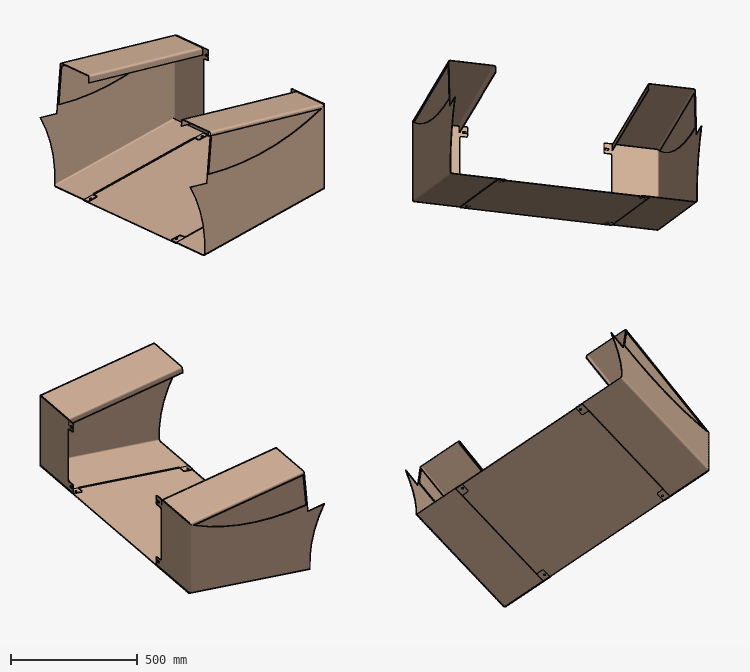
import cadquery as cq
import math

overall_width = 1007.46
overall_depth = 657.01
overall_height = 515.89
sheet = 3.0
bend_radius = 9.5
floor_angle = 15.0
front_edge_angle = 5.0

half_width = overall_width / 2
back_y = overall_depth / 2
wing_tip_y = -overall_depth / 2
top_z = overall_height / 2
bottom_z = -overall_height / 2

floor_front_y = -259.0
top_front_y = -230.0
wing_z = 48.0
wing_radius = 530.0

flange_edge_x = 309.5
tab_end_x = 277.5
tab_width = 45.0
tab_corner = 6.0
slot_width = 7.0
slot_depth = 20.0
slot_inset = 26.0
tab_hole_diameter = 8.0
tab_hole_from_end = 10.5
tab_hole_from_back = 24.0
tab_hole_from_front = 18.5
lip_height = 30.0
seam_gap = 1.0

margin = 1.0

emboss_depth = 1.5
emboss_top_drop = 16.0
emboss_back_inset = 19.0
emboss_front_inset = 6.0
emboss_bottom_z = 83.5
emboss_radius = 1053.0

slope = math.tan(math.radians(floor_angle))
plate_end_shift = sheet * math.sin(math.radians(floor_angle))
lean = math.tan(math.radians(front_edge_angle))
sheet_rise = sheet / math.cos(math.radians(floor_angle))
plate_front_z = bottom_z - plate_end_shift * slope


def plate_bottom_z(y):
    """Height of the underside of the floor plate."""
    return plate_front_z + slope * (y - floor_front_y)


def floor_bottom_z(y):
    """Height of the underside of the guard's floor flange, which rests on the plate."""
    return plate_bottom_z(y) + sheet_rise


def floor_top_z(y):
    """Height of the upper face of the guard's floor flange."""
    return floor_bottom_z(y) + sheet_rise


def front_edge_y(z):
    """Position of the leaning front edge above the wing."""
    return top_front_y - lean * (top_z - z)


def guard_block():
    """Solid filling one guard's envelope, rounded along the top, back, floor and lip bends."""
    block = (
        cq.Workplane("YZ", origin=(-half_width, 0, 0))
        .moveTo(back_y, top_z)
        .lineTo(back_y, floor_bottom_z(back_y))
        .lineTo(floor_front_y, floor_bottom_z(floor_front_y))
        .radiusArc((wing_tip_y, wing_z), -wing_radius)
        .lineTo(front_edge_y(wing_z), wing_z)
        .lineTo(top_front_y, top_z)
        .close()
        .extrude(half_width - flange_edge_x)
    )
    side_bends = cq.selectors.BoxSelector(
        (-half_width - margin, top_front_y / 2, bottom_z),
        (-half_width + margin, back_y + margin, top_z + margin),
    )
    block = block.edges(side_bends).fillet(bend_radius)
    return block.faces(">Z").edges(">X").fillet(bend_radius)


def cavity_block(top, inner_x):
    """Space between the side sheet and inner_x, above the floor, in front of the back flange."""
    back = back_y - sheet
    front = wing_tip_y - sheet
    return (
        cq.Workplane("YZ", origin=(-half_width + sheet, 0, 0))
        .polyline([
            (back, top),
            (back, floor_top_z(back)),
            (front, floor_top_z(front)),
            (front, top),
        ])
        .close()
        .extrude(inner_x + half_width - sheet)
    )


def guard_cavity():
    """Hollow of the guard, open at the front and, below the lip, along the inner side."""
    inner_radius = bend_radius - sheet
    hollow = cavity_block(top_z - sheet, -flange_edge_x - sheet)
    hollow = hollow.faces("<X").edges("not <Y").fillet(inner_radius)
    hollow = hollow.faces(">Z").edges(">X").fillet(inner_radius)
    opening = cavity_block(top_z - lip_height, -tab_end_x)
    opening = opening.faces("<X").edges("not <Y").edges("not >Z").fillet(inner_radius)
    return hollow.union(opening)


def tabbed_edge(plane, origin, start, end, depth):
    """Strip of sheet along a flange's free edge with a rounded tab at each end."""
    strip = (
        cq.Workplane(plane, origin=origin)
        .polyline([
            (-flange_edge_x - bend_radius, start),
            (-tab_end_x, start),
            (-tab_end_x, start + tab_width),
            (-flange_edge_x, start + tab_width),
            (-flange_edge_x, end - tab_width),
            (-tab_end_x, end - tab_width),
            (-tab_end_x, end),
            (-flange_edge_x - bend_radius, end),
        ])
        .close()
        .extrude(depth)
    )
    through_edges = cq.selectors.ParallelDirSelector(strip.plane.zDir)
    inner_side = cq.selectors.BoxSelector(
        (-flange_edge_x - margin, -overall_depth, -overall_height),
        (-tab_end_x + margin, overall_depth, overall_height),
    )
    return strip.edges(through_edges).edges(inner_side).fillet(tab_corner)


def back_edge():
    """Tabbed edge of the back flange, with a slot open to the end of each tab."""
    floor_z = floor_bottom_z(back_y)
    edge = tabbed_edge("XZ", (0, back_y, 0), floor_z, top_z, sheet)
    for slot_z in (floor_z + slot_inset, top_z - slot_inset):
        slot = (
            cq.Workplane("XZ", origin=(-tab_end_x, back_y, slot_z))
            .slot2D(2 * slot_depth, slot_width)
            .extrude(sheet)
        )
        edge = edge.cut(slot)
    return edge


def floor_edge():
    """Tabbed edge of the sloping floor flange, with a hole in each tab."""
    back = back_y - sheet
    edge = tabbed_edge("XY", (0, 0, bottom_z), floor_front_y, back, overall_height)
    floor_layer = (
        cq.Workplane("YZ", origin=(-half_width, 0, 0))
        .polyline([
            (floor_front_y, floor_bottom_z(floor_front_y)),
            (back, floor_bottom_z(back)),
            (back, floor_top_z(back)),
            (floor_front_y, floor_top_z(floor_front_y)),
        ])
        .close()
        .extrude(half_width)
    )
    hole_x = -tab_end_x - tab_hole_from_end
    holes = (
        cq.Workplane("XY", origin=(0, 0, bottom_z))
        .pushPoints([
            (hole_x, floor_front_y + tab_hole_from_front),
            (hole_x, back_y - tab_hole_from_back),
        ])
        .circle(tab_hole_diameter / 2)
        .extrude(overall_height)
    )
    return edge.intersect(floor_layer).cut(holes)


def top_seam():
    """Slit that frees the top flange and its lip from the back flange."""
    length = half_width - bend_radius - flange_edge_x
    corner = (-flange_edge_x, back_y - sheet, top_z)
    return (
        cq.Workplane("XY", origin=corner)
        .box(length, seam_gap, lip_height, centered=False)
        .translate((-length, -seam_gap, -lip_height))
    )


def emboss_block(outer_x):
    """Block with the outline and depth of the pressed panel, its outer face at the given X."""
    top = top_z - emboss_top_drop
    top_front = front_edge_y(top) + emboss_front_inset
    bottom_front = front_edge_y(emboss_bottom_z) + emboss_front_inset
    return (
        cq.Workplane("YZ", origin=(outer_x, 0, 0))
        .moveTo(back_y - emboss_back_inset, top)
        .lineTo(top_front, top)
        .lineTo(bottom_front, emboss_bottom_z)
        .radiusArc((back_y - emboss_back_inset, top), -emboss_radius)
        .close()
        .extrude(emboss_depth)
    )


def left_guard():
    """Side sheet with its top, back and floor flanges, all one piece."""
    guard = guard_block().cut(guard_cavity())
    guard = guard.union(back_edge()).union(floor_edge()).cut(top_seam())
    guard = guard.cut(emboss_block(-half_width))
    return guard.union(emboss_block(-half_width + sheet))


def floor_plate():
    """Flat sloping plate carrying both guards' floor flanges."""
    return (
        cq.Workplane("YZ", origin=(-flange_edge_x, 0, 0))
        .polyline([
            (floor_front_y, floor_bottom_z(floor_front_y)),
            (floor_front_y + plate_end_shift, bottom_z),
            (back_y - sheet, plate_bottom_z(back_y - sheet)),
            (back_y - sheet, floor_bottom_z(back_y - sheet)),
        ])
        .close()
        .extrude(2 * flange_edge_x)
    )


guard = left_guard()
mirrored_guard = guard.mirror("YZ")
plate = floor_plate()

result = cq.Compound.makeCompound([guard.val(), mirrored_guard.val(), plate.val()])